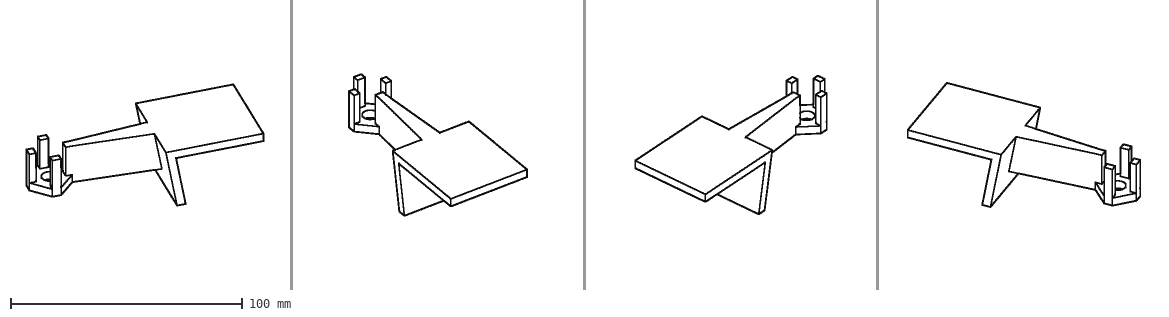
import cadquery as cq
import math

plate_width = 40.0
plate_thickness = 4.0
top_plate_inner_length = 40.0
lean_drop = 25.0
lean_angle = 10.0

arm_length = 40.0
arm_root_width = 10.0

holder_size = 19.6
holder_flat = 4.0
holder_thickness = 4.0
post_height = 15.0
post_width = holder_flat
post_depth = 3.0
hole_diameter = 7.0

lean_slope = math.tan(math.radians(lean_angle))
total_height = plate_thickness + lean_drop
holder_height = holder_thickness + post_height
front_top_y = -top_plate_inner_length - plate_thickness * (1 + lean_slope)
arm_root_y = front_top_y + holder_height * lean_slope
arm_tip_y = arm_root_y - arm_length
holder_radius = holder_size / 2
holder_y = arm_tip_y - holder_radius


def make_plates():
    """Top plate and leaning plate as one bent side profile."""
    inner_y = -top_plate_inner_length
    foot_inner_y = inner_y + lean_drop * lean_slope
    profile = [
        (0, 0),
        (front_top_y, 0),
        (foot_inner_y - plate_thickness, -total_height),
        (foot_inner_y, -total_height),
        (inner_y, -plate_thickness),
        (0, -plate_thickness),
    ]
    return cq.Workplane("YZ").polyline(profile).close().extrude(plate_width / 2, both=True)


def make_arm():
    """Arm that tapers down to the width of a post."""
    outline = [
        (-arm_root_width / 2, arm_root_y),
        (arm_root_width / 2, arm_root_y),
        (post_width / 2, arm_tip_y),
        (-post_width / 2, arm_tip_y),
    ]
    return cq.Workplane("XY").polyline(outline).close().extrude(-holder_height)


def make_holder():
    """Square base with cut corners, a post on each short flat and a central hole."""
    post_count = 4
    corner_cut = (holder_size - holder_flat) / 2
    holder = (
        cq.Workplane("XY")
        .workplane(offset=-holder_height)
        .rect(holder_size, holder_size)
        .extrude(holder_thickness)
        .edges("|Z")
        .chamfer(corner_cut)
    )
    post = (
        cq.Workplane("XY")
        .center(holder_radius - post_depth / 2, 0)
        .rect(post_depth, post_width)
        .extrude(-holder_height)
    )
    for turn in range(post_count):
        holder = holder.union(post.rotate((0, 0, 0), (0, 0, 1), turn * 360 / post_count))
    hole = cq.Workplane("XY").circle(hole_diameter / 2).extrude(-holder_height)
    return holder.cut(hole).translate((0, holder_y, 0))


result = make_plates().union(make_arm()).union(make_holder())